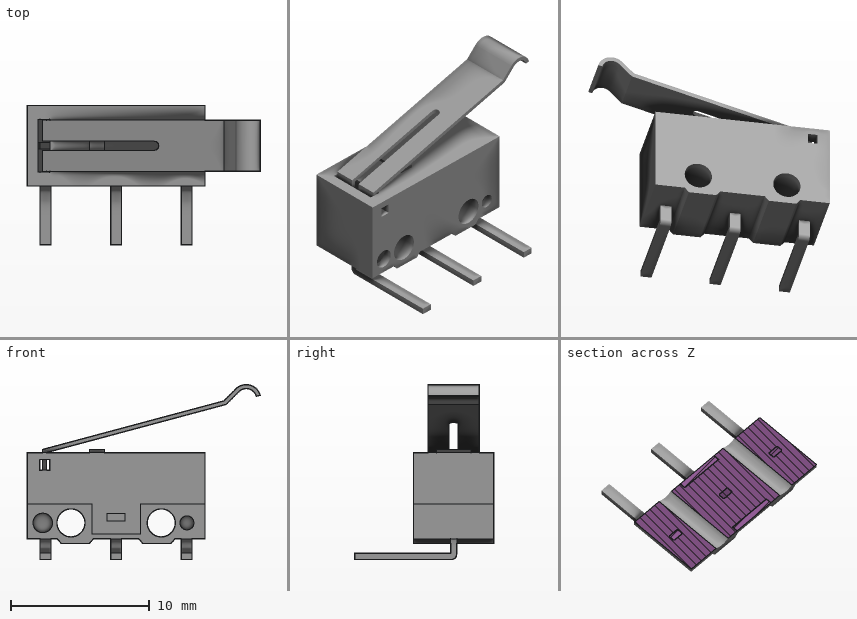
import cadquery as cq
import math


case_length = 12.8
case_width = 5.8
case_height = 6.2
split_height = 2.5
half_width = case_width / 2

tab_width = 3.5
tab_bottom = 0.35
tab_thickness = 0.5
nub_width = 1.3
nub_height = 0.57
nub_bottom = 1.27

foot_height = 0.35
foot_inner_x = 1.63
foot_outer_x = 4.24
foot_bevel = 0.3

hole_height = 1.15
mounting_diameter = 2.0
mounting_spacing = 6.5
large_locator_diameter = 1.4
large_locator_x = -5.28
small_locator_diameter = 1.0
small_locator_x = 5.1
locator_depth = 0.65

slot_left_x = -5.61
slot_length = 0.85
slot_width = 3.8
slot_depth = 1.25
slot_floor = case_height - slot_depth
window_left_x = -5.49
window_length = 0.7
window_height = 0.75

plunger_x = -1.37
plunger_length = 1.1
plunger_width = 2.5
plunger_rise = 0.24
plunger_depth = 1.5

terminal_pitch = 5.08
terminal_width = 0.8
terminal_thickness = 0.45
tail_thickness = 0.48
tail_bottom = -1.5
overall_depth = 10.03
tail_end_y = half_width - overall_depth
tail_bend_radius = 0.4
contact_bevel = 0.12

lever_width = 3.7
lever_thickness = 0.3
leg_left_x = -5.3
leg_rise = 0.24
arm_angle = math.radians(15)
ramp_angle = math.radians(45)
curl_radius = 1.05
curl_end_angle = math.radians(15)
lever_right_x = 10.38
lever_height = 4.91
lever_top = case_height + lever_height
curl_x = lever_right_x - curl_radius * math.cos(curl_end_angle)
curl_z = lever_top - curl_radius
fork_gap = 0.65
fork_end_x = 3.07


def block(x_min, x_max, y_min, y_max, z_min, z_max):
    """Box between the given limits."""
    size = (x_max - x_min, y_max - y_min, z_max - z_min)
    return cq.Workplane("XY").box(*size, centered=False).translate((x_min, y_min, z_min))


def centered_block(x_center, length, width, z_min, z_max):
    """Box centered in Y and about x_center."""
    return block(x_center - length / 2, x_center + length / 2, -width / 2, width / 2, z_min, z_max)


def cross_hole(x, diameter, depth):
    """Cylinder along Y that starts at the -Y side of the case."""
    start = cq.Workplane("XZ", origin=(x, -half_width, hole_height))
    return start.circle(diameter / 2).extrude(-depth)


def make_tabs():
    """Pair of latch tabs with their nub openings, one on each long side."""
    slab = centered_block(0, tab_width, case_width, tab_bottom, split_height)
    slab = slab.cut(centered_block(0, tab_width, case_width - 2 * tab_thickness, tab_bottom, split_height))
    return slab.cut(centered_block(0, nub_width, case_width, nub_bottom, nub_bottom + nub_height))


def make_foot(side):
    """Foot with beveled ends, on the side given by the sign of X."""
    outline = [
        (side * foot_inner_x, 0),
        (side * (foot_inner_x + foot_bevel), -foot_height),
        (side * (foot_outer_x - foot_bevel), -foot_height),
        (side * foot_outer_x, 0),
    ]
    return cq.Workplane("XZ").polyline(outline).close().extrude(half_width, both=True)


def make_terminal(x):
    """Terminal at x with its tail bent toward -Y and its top level with the base."""
    half_thickness = terminal_thickness / 2
    outline = [
        (-half_thickness, split_height),
        (half_thickness, split_height),
        (half_thickness, tail_bottom),
        (tail_end_y, tail_bottom),
        (tail_end_y, tail_bottom + tail_thickness),
        (-half_thickness, tail_bottom + tail_thickness),
    ]
    strip = cq.Workplane("YZ").polyline(outline).close().extrude(terminal_width / 2, both=True)
    strip = strip.faces(">Y").edges("<Z").fillet(tail_bend_radius)
    return strip.translate((x, 0, 0))


def make_contact_plate():
    """Plate that carries the first terminal up to the slot floor."""
    half_thickness = terminal_thickness / 2
    plate_right_x = slot_left_x + slot_length
    return block(slot_left_x, plate_right_x, -half_thickness, half_thickness, split_height, slot_floor)


def curl_point(radius, angle):
    """Point on the tip curl at an angle above +X."""
    return (curl_x + radius * math.cos(angle), curl_z + radius * math.sin(angle))


def lever_edge(inset):
    """Corner points of the lever outline at an inset below its upper surface."""
    radius = curl_radius - inset
    curl_start_angle = math.pi / 2 + ramp_angle
    curl_start = curl_point(radius, curl_start_angle)
    curl_middle = curl_point(radius, (curl_start_angle + curl_end_angle) / 2)
    curl_end = curl_point(radius, curl_end_angle)

    leg_x = leg_left_x + inset
    arm_slope = math.tan(arm_angle)
    ramp_slope = math.tan(ramp_angle)
    arm_start_z = case_height + leg_rise + arm_slope * inset - inset / math.cos(arm_angle)
    height_gap = curl_start[1] - arm_start_z - arm_slope * (curl_start[0] - leg_x)
    kink_x = curl_start[0] - height_gap / (ramp_slope - arm_slope)
    kink = (kink_x, arm_start_z + arm_slope * (kink_x - leg_x))
    return (leg_x, slot_floor), (leg_x, arm_start_z), kink, curl_start, curl_middle, curl_end


def make_lever():
    upper = lever_edge(0)
    lower = lever_edge(lever_thickness)
    profile = (
        cq.Workplane("XZ")
        .polyline(upper[:4])
        .threePointArc(upper[4], upper[5])
        .lineTo(*lower[5])
        .threePointArc(lower[4], lower[3])
        .lineTo(*lower[2])
        .lineTo(*lower[1])
        .lineTo(*lower[0])
        .close()
    )
    strip = profile.extrude(lever_width / 2, both=True)
    gap_center_x = fork_end_x - fork_gap / 2
    gap = block(leg_left_x, gap_center_x, -fork_gap / 2, fork_gap / 2, slot_floor, lever_top)
    gap_end = cq.Workplane("XY", origin=(gap_center_x, 0, slot_floor))
    gap_end = gap_end.circle(fork_gap / 2).extrude(lever_top - slot_floor)
    return strip.cut(gap).cut(gap_end)


def make_plunger():
    bottom = case_height - plunger_depth
    top = case_height + plunger_rise
    return centered_block(plunger_x, plunger_length, plunger_width, bottom, top)


def make_cover():
    shell = centered_block(0, case_length, case_width, split_height, case_height).union(make_tabs())
    slot_center_x = slot_left_x + slot_length / 2
    window_center_x = window_left_x + window_length / 2
    window_top = slot_floor + window_height
    shell = shell.cut(centered_block(slot_center_x, slot_length, slot_width, slot_floor, case_height))
    shell = shell.cut(centered_block(window_center_x, window_length, case_width, slot_floor, window_top))
    return shell


def make_base():
    body = centered_block(0, case_length, case_width, 0, split_height)
    body = body.cut(make_tabs())
    for side in (-1, 1):
        body = body.union(make_foot(side))
        body = body.cut(cross_hole(side * mounting_spacing / 2, mounting_diameter, case_width))
    body = body.cut(cross_hole(large_locator_x, large_locator_diameter, locator_depth))
    return body.cut(cross_hole(small_locator_x, small_locator_diameter, locator_depth))


lever = make_lever()
plunger = make_plunger()
terminals = [make_terminal(index * terminal_pitch) for index in (-1, 0, 1)]

contact_plate = make_contact_plate()
beveled_plate = contact_plate.faces("<X").edges(">Z").chamfer(contact_bevel)
terminals[0] = terminals[0].union(beveled_plate)

cover = make_cover().cut(plunger).cut(contact_plate)
base = make_base()
for terminal in terminals:
    base = base.cut(terminal)

bodies = [cover, base, lever, plunger, *terminals]
result = cq.Compound.makeCompound([body.val() for body in bodies])